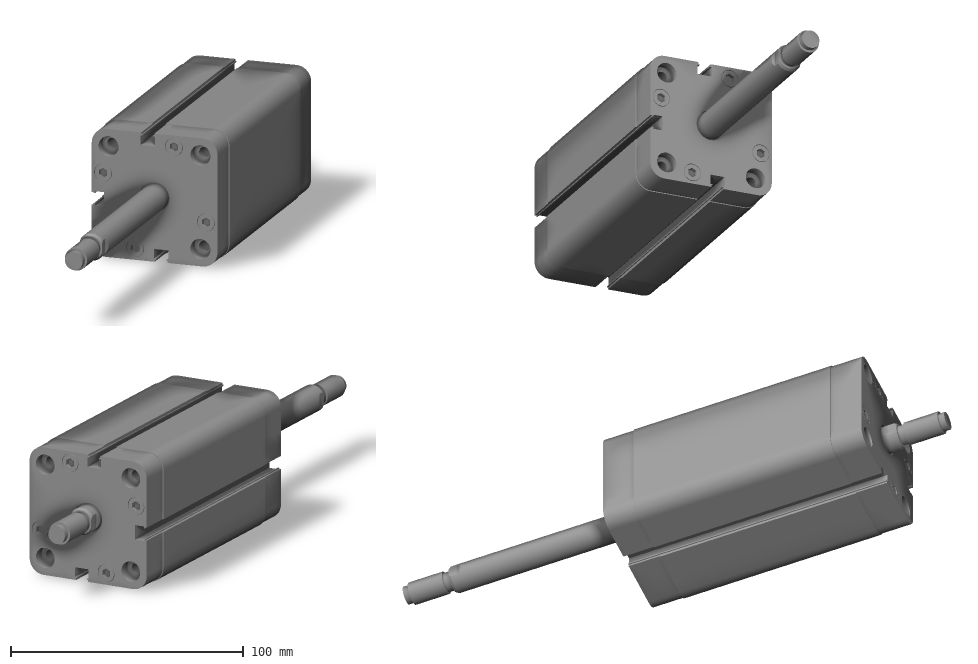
import cadquery as cq
import math

rod_length = 252.5
half_rod = rod_length / 2

body_side = 58.0
cap_side = 57.3
corner_radius = 7.0
front_face_y = -22.5
rear_face_y = 98.0
cap_length = 14.5

slot_mouth_width = 5.8
slot_neck_width = 4.8
slot_channel_width = 6.5
slot_depth = 6.0
slot_lip = 1.8
slot_mouth_depth = 1.3
slot_offset = 3.0

mount_spacing = 42.0
mount_hole_dia = 4.8
counterbore_dia = 9.0
counterbore_depth = 5.0

screw_edge_position = 23.5
screw_side_position = 8.8
screw_hole_dia = 8.0
screw_head_dia = 7.5
screw_gap_depth = 0.8
socket_flats = 3.8
socket_depth = 2.0

rod_groove_dia = 13.6
rod_groove_depth = 1.3

rod_dia = 12.0
thread_dia = 10.0
undercut_dia = 8.5
shoulder_y = 104.5
shoulder_chamfer_length = 1.3
shoulder_end_dia = 10.5
undercut_length = 3.0
tip_length = 2.8
tip_dia = 8.0

flat_width = 10.0
flat_length = 4.3
flat_runout = 1.8


def slot_cutter(side, start_y, end_y):
    """Stepped slot in the top of a bar, open at that bar's own surface."""
    surface = side / 2
    lip_bottom = body_side / 2 - slot_lip
    floor = body_side / 2 - slot_depth
    mouth_bottom = body_side / 2 - slot_mouth_depth
    half_mouth = slot_mouth_width / 2
    half_neck = slot_neck_width / 2
    half_channel = slot_channel_width / 2
    right_half = [
        (half_channel, floor),
        (half_channel, lip_bottom),
        (half_neck, lip_bottom),
        (half_neck, mouth_bottom),
        (half_mouth, mouth_bottom),
        (half_mouth, surface),
    ]
    left_half = [(-x, z) for x, z in reversed(right_half)]
    return (
        cq.Workplane("XZ", origin=(-slot_offset, start_y, 0))
        .polyline(right_half + left_half)
        .close()
        .extrude(start_y - end_y)
    )


def slotted_bar(side, start_y, end_y):
    """Square bar along Y, rounded about the body's corner centres, with slots on three sides."""
    length = end_y - start_y
    radius = corner_radius - (body_side - side) / 2
    bar = cq.Workplane("XY").box(side, length, side).edges("|Y").fillet(radius)
    bar = bar.translate((0, start_y + length / 2, 0))
    top_slot = slot_cutter(side, start_y, end_y)
    for angle in (0, 180, -90):
        bar = bar.cut(top_slot.rotate((0, 0, 0), (0, 1, 0), angle))
    return bar


def cylinder(x, z, dia, start_y, length):
    """Cylinder along +Y starting at start_y."""
    return cq.Workplane("XZ", origin=(x, start_y, z)).circle(dia / 2).extrude(-length)


def face_cutter():
    """Everything sunk into the front face: counterbores, screw heads and the rod groove."""
    half_spacing = mount_spacing / 2
    cutter = cylinder(0, 0, rod_groove_dia, front_face_y, rod_groove_depth)
    for x in (-half_spacing, half_spacing):
        for z in (-half_spacing, half_spacing):
            cutter = cutter.union(cylinder(x, z, counterbore_dia, front_face_y, counterbore_depth))

    socket_corner_dia = socket_flats / math.cos(math.pi / 6)
    edge, side = screw_edge_position, screw_side_position
    for x, z in ((side, edge), (-edge, side), (-side, -edge), (edge, -side)):
        socket = (
            cq.Workplane("XZ", origin=(x, front_face_y, z))
            .transformed(rotate=(0, 0, 30))
            .polygon(6, socket_corner_dia)
            .extrude(-socket_depth)
        )
        hole = cylinder(x, z, screw_hole_dia, front_face_y, screw_gap_depth)
        head = cylinder(x, z, screw_head_dia, front_face_y, screw_gap_depth)
        cutter = cutter.union(hole.cut(head)).union(socket)
    return cutter


def make_housing():
    front_joint_y = front_face_y + cap_length
    rear_joint_y = rear_face_y - cap_length
    housing = slotted_bar(body_side, front_joint_y, rear_joint_y)
    housing = housing.union(slotted_bar(cap_side, front_face_y, front_joint_y))
    housing = housing.union(slotted_bar(cap_side, rear_joint_y, rear_face_y))

    half_spacing = mount_spacing / 2
    for x in (-half_spacing, half_spacing):
        for z in (-half_spacing, half_spacing):
            through_hole = cylinder(x, z, mount_hole_dia, front_face_y, rear_face_y - front_face_y)
            housing = housing.cut(through_hole)

    front_cutter = face_cutter()
    rear_cutter = front_cutter.mirror("XZ", (0, (front_face_y + rear_face_y) / 2, 0))
    return housing.cut(front_cutter).cut(rear_cutter)


def flat_cutter():
    """Wedge-ended cutter for the +X flat at the +Y end of the rod."""
    flat_x = flat_width / 2
    rod_radius = rod_dia / 2
    flat_end = shoulder_y - flat_length
    return (
        cq.Workplane("XY", origin=(0, 0, -rod_radius))
        .moveTo(flat_x, shoulder_y)
        .lineTo(flat_x, flat_end)
        .lineTo(rod_radius, flat_end - flat_runout)
        .lineTo(rod_radius, shoulder_y)
        .close()
        .extrude(rod_dia)
    )


def make_rod():
    half_profile = (
        cq.Workplane("XY")
        .moveTo(0, 0)
        .lineTo(rod_dia / 2, 0)
        .lineTo(rod_dia / 2, shoulder_y - shoulder_chamfer_length)
        .lineTo(shoulder_end_dia / 2, shoulder_y)
        .lineTo(undercut_dia / 2, shoulder_y)
        .lineTo(undercut_dia / 2, shoulder_y + undercut_length)
        .lineTo(thread_dia / 2, shoulder_y + undercut_length)
        .lineTo(thread_dia / 2, half_rod - tip_length)
        .lineTo(tip_dia / 2, half_rod - tip_length)
        .lineTo(tip_dia / 2, half_rod)
        .lineTo(0, half_rod)
        .close()
    )
    half = half_profile.revolve(360, (0, 0, 0), (0, 1, 0))
    flat = flat_cutter()
    half = half.cut(flat).cut(flat.mirror("YZ"))
    return half.union(half.mirror("XZ"))


result = make_housing().union(make_rod())